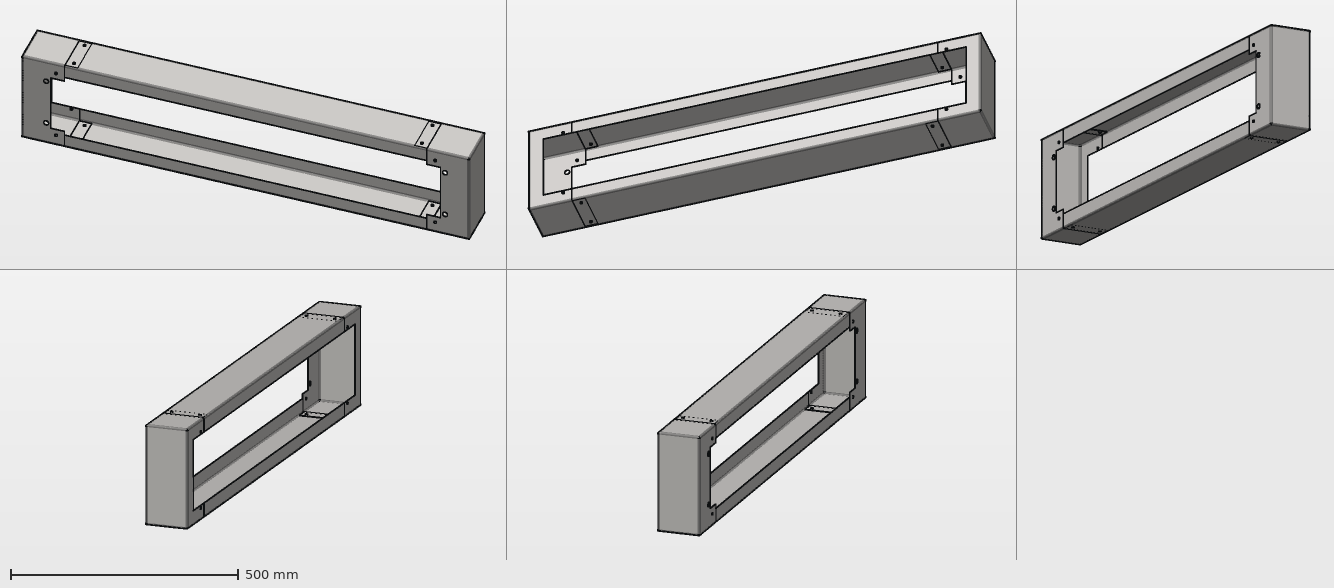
import cadquery as cq
frame_length = 1050.0
frame_depth = 100.0
frame_height = 230.0

sheet = 2.0
bend_outer = 3.7
bend_inner = bend_outer - sheet
upright_bend_outer = 4.0

cap_length = 101.0
front_flange_width = 68.0
front_tab_height = 44.0
rear_flange_width = 35.0

rail_length = frame_length - 2 * cap_length
rail_flange_height = 34.0

plate_length = 29.0
plate_width = 90.0

mount_hole_diameter = 12.0
mount_hole_inset = 58.0
mount_hole_offset = 59.0
screw_hole_diameter = 6.0
tab_hole_inset = 81.0
tab_hole_offset = 87.0
plate_hole_inset = 118.0
plate_hole_offset = 34.0

half_depth = frame_depth / 2
half_height = frame_height / 2
end_x = -frame_length / 2
joint_x = end_x + cap_length
opening_half_height = half_height - rail_flange_height

overrun = 10.0


def block_between(x_start, x_end, y_start, y_end, half_z):
    """Block between two X and two Y positions, symmetric about Z = 0."""
    block = cq.Workplane("XY").box(
        x_end - x_start, y_end - y_start, 2 * half_z, centered=(False, False, True)
    )
    return block.translate((x_start, y_start, 0))


def section_block(x_start, x_end, inset):
    """Block of the frame's cross-section, inset evenly from the outer faces."""
    return block_between(
        x_start, x_end, inset - half_depth, half_depth - inset, half_height - inset
    )


def hole_along_y(x, z, diameter):
    cutter = cq.Workplane("XZ").center(x, z).circle(diameter / 2)
    return cutter.extrude(frame_depth, both=True)


def drill_plate_holes(body):
    """Cut the vertical screw holes that pass through a rail web and its joint plates."""
    inset_x = end_x + plate_hole_inset
    for x in (inset_x, -inset_x):
        for y in (-plate_hole_offset, plate_hole_offset):
            cutter = cq.Workplane("XY").center(x, y).circle(screw_hole_diameter / 2)
            body = body.cut(cutter.extrude(frame_height, both=True))
    return body


def round_upright_corners(cap):
    """Round the vertical corners, leaving them sharp where the top and bottom bends meet."""
    core = block_between(end_x, joint_x, -half_depth, half_depth, half_height - bend_outer)
    rounded_core = core.edges("|Z and <X").fillet(upright_bend_outer)
    return cap.cut(core.cut(rounded_core))


def make_left_cap():
    """End cap open toward the rails, with a deep front flange and a narrow rear flange."""
    outer = section_block(end_x, joint_x, 0).edges("(|X or <X) and (not |Z)").fillet(bend_outer)
    outer = round_upright_corners(outer)
    hollow = section_block(end_x + sheet, joint_x + overrun, sheet)
    cap = outer.cut(hollow.edges("|X or <X").fillet(bend_inner))

    front_opening = block_between(
        end_x + front_flange_width,
        joint_x + overrun,
        -half_depth,
        0,
        half_height - front_tab_height,
    )
    rear_opening = block_between(
        end_x + rear_flange_width, joint_x + overrun, 0, half_depth, opening_half_height
    )
    cap = cap.cut(front_opening).cut(rear_opening)

    for side in (-1, 1):
        mount_hole = hole_along_y(
            end_x + mount_hole_inset, side * mount_hole_offset, mount_hole_diameter
        )
        tab_hole = hole_along_y(
            end_x + tab_hole_inset, side * tab_hole_offset, screw_hole_diameter
        )
        cap = cap.cut(mount_hole).cut(tab_hole)
    return cap


def make_top_rail():
    """Channel with its web on top and its two flanges pointing down."""
    half_length = rail_length / 2
    outer = section_block(-half_length, half_length, 0).edges("|X").fillet(bend_outer)
    hollow = section_block(-half_length - overrun, half_length + overrun, sheet)
    tube = outer.cut(hollow.edges("|X").fillet(bend_inner))
    opening = block_between(
        -half_length, half_length, -half_depth, half_depth, opening_half_height
    )
    upper_channel = tube.cut(opening).solids(">Z")
    return drill_plate_holes(upper_channel)


def make_top_left_plate():
    """Flat plate under the web of the top rail, flush with the rail's left end."""
    plate = cq.Workplane("XY").box(
        plate_length, plate_width, sheet, centered=(False, True, False)
    )
    return drill_plate_holes(plate.translate((joint_x, 0, half_height - 2 * sheet)))


left_cap = make_left_cap()
end_caps = [left_cap, left_cap.mirror("YZ")]

top_rail = make_top_rail()
rails = [top_rail, top_rail.mirror("XY")]

top_left_plate = make_top_left_plate()
joint_plates = []
for top_plate in (top_left_plate, top_left_plate.mirror("YZ")):
    joint_plates += [top_plate, top_plate.mirror("XY")]

result = cq.Compound.makeCompound([body.val() for body in end_caps + rails + joint_plates])